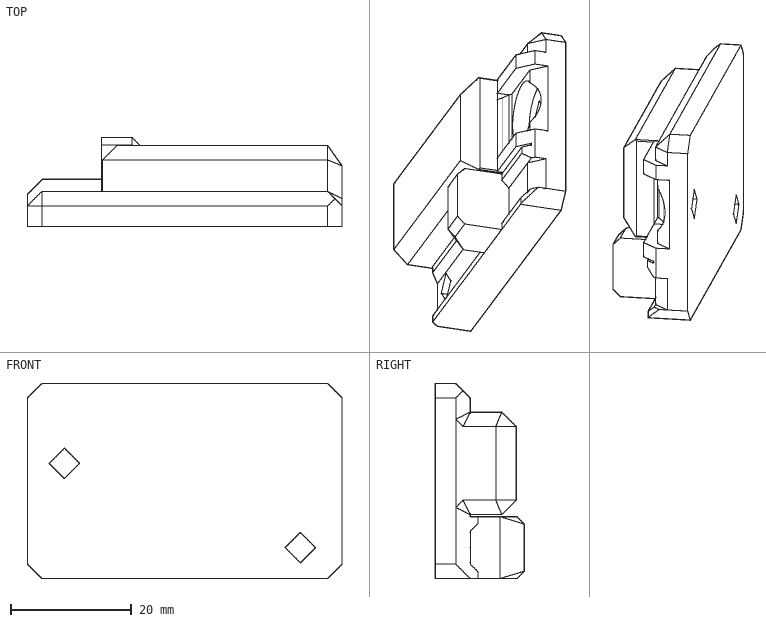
import cadquery as cq
import math


width = 52.25
height = 32.4
plate_top = 5.85
edge_chamfer = 2.4

tongue_bottom = 10.6
tongue_top = 27.65
tongue_thickness = 7.9
tongue_length = 12.3
tongue_chamfer_start = 5.4

channel_depth = 2.4
channel_half_height = 6.0
channel_ramp_run = 0.6
channel_floor = tongue_thickness - channel_depth
channel_center_z = (tongue_bottom + tongue_top) / 2
channel_bottom = channel_center_z - channel_half_height
channel_top = channel_center_z + channel_half_height
pocket_diameter = 10.5
pocket_floor = 2.6

hole_diagonal = 5.0
pocket_center_x = 6.15
far_hole_center_x = 45.3

latch_height = 10.3
latch_center_z = latch_height / 2
rail_top = 7.1
rail_chamfer_start = 4.8
rail_bevel = rail_top - plate_top
groove_bottom = edge_chamfer
groove_top = latch_height - groove_bottom
latch_top = 14.85
latch_chamfer = 1.25
latch_shoulder_x = 17.35
latch_taper_length = 4.1

cover_top = 13.5
cover_left = tongue_length
cover_shoulder_x = width - edge_chamfer
cover_rim_chamfer = 0.2
cover_end_top = 10.1

mouth_steps = [(6.55, 27), (7.65, 31), (tongue_thickness, 50)]


def prism_along_x(points_yz, x_start, x_end):
    """Solid with a (Y, Z) outline, running from x_start to x_end."""
    return cq.Workplane("YZ").workplane(offset=x_start).polyline(points_yz).close().extrude(x_end - x_start)


def prism_along_z(points_xy, z_start, z_end):
    """Solid with an (X, Y) outline, running from z_start to z_end."""
    return cq.Workplane("XY").workplane(offset=z_start).polyline(points_xy).close().extrude(z_end - z_start)


def box(x_range, y_range, z_range):
    (x0, x1), (y0, y1), (z0, z1) = x_range, y_range, z_range
    return prism_along_z([(x0, y0), (x1, y0), (x1, y1), (x0, y1)], z0, z1)


def polyhedron(points, faces):
    """Solid bounded by flat faces, each given as indices into the list of points."""
    sides = [
        cq.Face.makeFromWires(cq.Wire.makePolygon([cq.Vector(*points[i]) for i in face], close=True))
        for face in faces
    ]
    return cq.Workplane(cq.Solid.makeSolid(cq.Shell.makeShell(sides)))


def tapered_end(start_x, start_section, end_x, end_section):
    """End piece that narrows from a six-sided section to a rectangle.

    Both sections are (Y, Z) points in order around the outline, starting at the low-Z bottom corner.
    """
    points = [(start_x, y, z) for y, z in start_section]
    points += [(end_x, y, z) for y, z in end_section]
    faces = [
        (0, 1, 2, 3, 4, 5),
        (6, 7, 8, 9),
        (5, 0, 6, 9),
        (0, 1, 7, 6),
        (1, 2, 7),
        (2, 3, 8, 7),
        (3, 4, 8),
        (4, 5, 9, 8),
    ]
    return polyhedron(points, faces)


def beveled_section(bottom, top, z_low, z_high, bevel):
    """Rectangle in (Y, Z) with its two top corners bevelled at 45 degrees."""
    return [
        (bottom, z_low),
        (top - bevel, z_low),
        (top, z_low + bevel),
        (top, z_high - bevel),
        (top - bevel, z_high),
        (bottom, z_high),
    ]


def plate_corner_cutter(direction_x, z_edge, direction_z):
    """Triangle that trims one corner of the plate outline, over the full depth."""
    x_edge = 0 if direction_x < 0 else width
    points = [
        (x_edge, z_edge),
        (x_edge - direction_x * edge_chamfer, z_edge),
        (x_edge, z_edge - direction_z * edge_chamfer),
    ]
    return cq.Workplane("XZ").polyline(points).close().extrude(-tongue_thickness)


def end_chamfer_cutter(chamfer_start, z_start, z_end, mirrored=False):
    """Wedge that slopes an end at 45 degrees inward, beginning at the height chamfer_start."""
    run = tongue_thickness - chamfer_start
    points = [(0, chamfer_start), (run, tongue_thickness), (0, tongue_thickness)]
    if mirrored:
        points = [(width - x, y) for x, y in points]
    return prism_along_z(points, z_start, z_end)


def top_left_corner_cutter():
    """Small pyramid that leaves a three-sided facet where the chamfers meet."""
    low_y = plate_top - edge_chamfer
    low_z = height - edge_chamfer
    points = [
        (0, low_y, low_z),
        (edge_chamfer, low_y, height),
        (edge_chamfer, plate_top, low_z),
        (0, plate_top, height),
    ]
    return polyhedron(points, [(0, 1, 2), (0, 1, 3), (1, 2, 3), (0, 2, 3)])


def diamond_hole(x, z):
    """Square hole through the plate with its corners along X and Z."""
    half = hole_diagonal / 2
    points = [(x + half, z), (x, z + half), (x - half, z), (x, z - half)]
    return cq.Workplane("XZ").polyline(points).close().extrude(-tongue_thickness)


def cable_channel():
    """Channel with a sloped mouth at the -X end and a short ramp where it enters the cover."""
    mouth_bottom = channel_floor - edge_chamfer
    points = [
        (0, mouth_bottom),
        (edge_chamfer, channel_floor),
        (tongue_length - channel_ramp_run, channel_floor),
        (tongue_length, plate_top),
        (tongue_length, tongue_thickness),
        (0, tongue_thickness),
    ]
    return prism_along_z(points, channel_bottom, channel_top)


def make_base():
    outline = [
        (0, 0),
        (rail_top, 0),
        (rail_top, groove_bottom - rail_bevel),
        (plate_top, groove_bottom),
        (plate_top, groove_top),
        (rail_top, groove_top + rail_bevel),
        (rail_top, latch_height),
        (plate_top, latch_height),
        (plate_top, height - edge_chamfer),
        (plate_top - edge_chamfer, height),
        (0, height),
    ]
    base = prism_along_x(outline, 0, width)
    tongue = box((0, tongue_length), (0, tongue_thickness), (tongue_bottom, tongue_top))
    base = base.union(tongue)

    for direction_x in (-1, 1):
        base = base.cut(plate_corner_cutter(direction_x, 0, -1))
        base = base.cut(plate_corner_cutter(direction_x, height, 1))

    plate_chamfer_start = plate_top - edge_chamfer
    left_slopes = [
        (rail_chamfer_start, 0, groove_bottom),
        (plate_chamfer_start, groove_bottom, groove_top),
        (tongue_chamfer_start, groove_top, tongue_top),
        (plate_chamfer_start, tongue_top, height),
    ]
    for chamfer_start, z_start, z_end in left_slopes:
        base = base.cut(end_chamfer_cutter(chamfer_start, z_start, z_end))
    base = base.cut(top_left_corner_cutter())
    base = base.cut(end_chamfer_cutter(plate_chamfer_start, 0, height, mirrored=True))

    base = base.cut(cable_channel())
    pocket = (
        cq.Workplane("XZ", origin=(pocket_center_x, pocket_floor, channel_center_z))
        .circle(pocket_diameter / 2)
        .extrude(-(channel_floor - pocket_floor))
    )
    base = base.cut(pocket)
    base = base.cut(diamond_hole(pocket_center_x, channel_center_z))
    return base.cut(diamond_hole(far_hole_center_x, latch_center_z))


def cover_mouth():
    """Pocket where the cable channel runs out under the cover, with a rising floor."""
    x, y = tongue_length, plate_top
    points = [(x, y)]
    for next_y, slope in mouth_steps:
        x += (next_y - y) / math.tan(math.radians(slope))
        y = next_y
        points.append((x, y))
    points.append((tongue_length, tongue_thickness))
    return prism_along_z(points, channel_bottom, channel_top)


def make_cover():
    section = beveled_section(plate_top, cover_top, tongue_bottom, tongue_top, edge_chamfer)
    cover = prism_along_x(section, cover_left, cover_shoulder_x)

    slope_bottom = cover_top - edge_chamfer - cover_rim_chamfer
    slope_run = cover_top - slope_bottom
    slope = [(cover_left, slope_bottom), (cover_left + slope_run, cover_top), (cover_left, cover_top)]
    cover = cover.cut(prism_along_z(slope, tongue_bottom, tongue_top))
    for z_edge, inward in ((tongue_bottom, 1), (tongue_top, -1)):
        rim = [
            (cover_left, z_edge),
            (cover_left + cover_rim_chamfer, z_edge),
            (cover_left, z_edge + inward * cover_rim_chamfer),
        ]
        cover = cover.cut(cq.Workplane("XZ").polyline(rim).close().extrude(-cover_top))

    foot = plate_top - edge_chamfer
    end_low = tongue_bottom + edge_chamfer
    end_high = tongue_top - edge_chamfer
    end_section = [(foot, end_low), (cover_end_top, end_low), (cover_end_top, end_high), (foot, end_high)]
    cover = cover.union(tapered_end(cover_shoulder_x, section, width, end_section))

    web = edge_chamfer / 2
    for z_shoulder, z_end, outward in ((tongue_bottom, end_low, -1), (tongue_top, end_high, 1)):
        points = [
            (cover_shoulder_x, plate_top, z_shoulder),
            (width, foot, z_end),
            (width, foot + web, z_end),
            (width, foot, z_end + outward * web),
        ]
        cover = cover.union(polyhedron(points, [(0, 1, 2), (0, 1, 3), (0, 2, 3), (1, 2, 3)]))
    return cover.cut(cover_mouth())


def make_latch():
    section = beveled_section(rail_top, latch_top, 0, latch_height, latch_chamfer)
    block = prism_along_x(section, cover_left, latch_shoulder_x)
    end_top = latch_top - latch_taper_length
    end_section = [(rail_top, 0), (end_top, 0), (end_top, latch_height), (rail_top, latch_height)]
    end = tapered_end(latch_shoulder_x, section, latch_shoulder_x + latch_taper_length, end_section)
    block = block.union(end)

    key = [
        (rail_top, groove_bottom - rail_bevel),
        (plate_top, groove_bottom),
        (plate_top, groove_top),
        (rail_top, groove_top + rail_bevel),
    ]
    return block.union(prism_along_x(key, cover_left, latch_shoulder_x + latch_taper_length))


base = make_base()
cover = make_cover()
latch = make_latch()
result = cq.Compound.makeCompound([body.solids().val() for body in (base, cover, latch)])